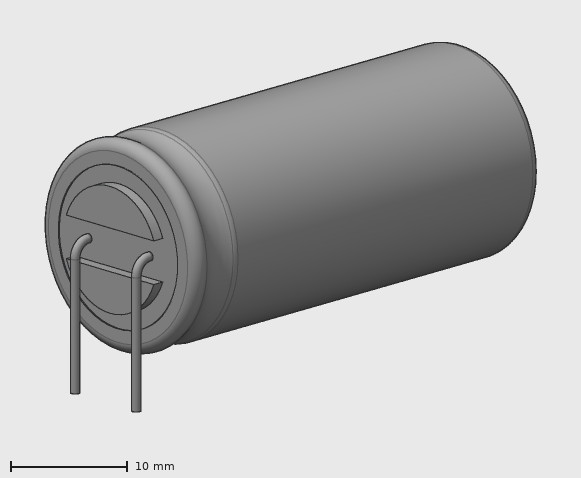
import cadquery as cq
import math

overall_length = 43.4
can_radius = 9.5
edge_radius = 1.0
groove_y = 3.05
neck_radius = 9.0

seal_radius = 7.3
seal_recess = 0.15
pad_radius = 5.7
pad_gap = 3.9
pad_height = 0.95

lead_diameter = 0.82
lead_spacing = 7.45
lead_bend_radius = 1.48
lead_bottom_z = -13.5

lead_radius = lead_diameter / 2
can_length = overall_length - lead_bend_radius - lead_radius


def make_can():
    """Revolve the can profile: rolled rim, crimp groove, cylinder, rounded far end."""
    face_radius = can_radius - edge_radius
    rim_y = edge_radius
    shoulder_y = 2 * groove_y - rim_y

    axial = groove_y - rim_y
    radial = neck_radius - face_radius
    groove_radius = (axial**2 + radial**2 - edge_radius**2) / (2 * (edge_radius - radial))
    angle = math.asin(axial / (groove_radius + edge_radius))

    def edge_point(center_y, turn):
        return (face_radius + edge_radius * math.cos(turn), center_y + edge_radius * math.sin(turn))

    corner = math.radians(45)
    return (
        cq.Workplane("XY")
        .lineTo(face_radius, 0)
        .threePointArc(edge_point(rim_y, 0), edge_point(rim_y, angle))
        .threePointArc((neck_radius, groove_y), edge_point(shoulder_y, -angle))
        .threePointArc(edge_point(shoulder_y, -angle / 2), (can_radius, shoulder_y))
        .lineTo(can_radius, can_length - edge_radius)
        .threePointArc(edge_point(can_length - edge_radius, corner), (face_radius, can_length))
        .lineTo(0, can_length)
        .close()
        .revolve(360, (0, 0, 0), (0, 1, 0))
    )


def make_seal_recess():
    return cq.Workplane("XZ", origin=(0, seal_recess, 0)).circle(seal_radius).extrude(seal_recess)


def make_pads():
    """Two disc segments left by a straight gap across a disc."""
    height = pad_height + seal_recess
    base = cq.Workplane("XZ", origin=(0, seal_recess, 0))
    gap = base.rect(2 * pad_radius, pad_gap).extrude(height)
    return base.circle(pad_radius).extrude(height).cut(gap)


def make_lead(x):
    """Round wire leaving the seal, bending a quarter turn and running straight down."""
    diagonal = lead_bend_radius * math.sqrt(0.5)
    path = (
        cq.Workplane("YZ", origin=(x, 0, 0))
        .moveTo(seal_recess, 0)
        .lineTo(0, 0)
        .threePointArc((-diagonal, diagonal - lead_bend_radius), (-lead_bend_radius, -lead_bend_radius))
        .lineTo(-lead_bend_radius, lead_bottom_z)
    )
    return cq.Workplane("XZ", origin=(x, seal_recess, 0)).circle(lead_radius).sweep(path)


result = make_can().cut(make_seal_recess()).union(make_pads())
for side in (-1, 1):
    result = result.union(make_lead(side * lead_spacing / 2))